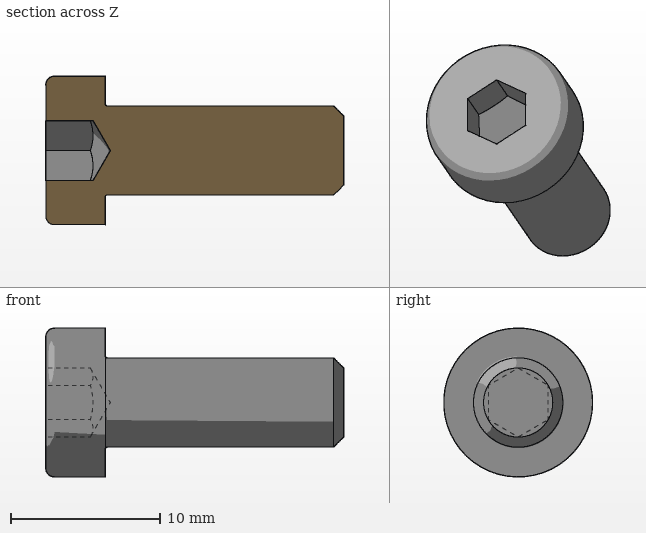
import cadquery as cq
import math

total_length = 20.0
head_diameter = 10.0
head_length = 4.0
shank_diameter = 6.0

head_edge_radius = 0.6
neck_radius = 0.15
tip_chamfer = 0.68

socket_across_flats = 4.0
socket_depth = 3.0
socket_cone_angle = 120.0
socket_across_corners = socket_across_flats / math.cos(math.pi / 6)


def make_body():
    """Head and shank revolved about X, with rounded head edge, neck fillet and tip chamfer."""
    head_radius = head_diameter / 2
    shank_radius = shank_diameter / 2
    return (
        cq.Workplane("XY")
        .lineTo(0, head_radius - head_edge_radius)
        .radiusArc((head_edge_radius, head_radius), head_edge_radius)
        .lineTo(head_length, head_radius)
        .lineTo(head_length, shank_radius + neck_radius)
        .radiusArc((head_length + neck_radius, shank_radius), -neck_radius)
        .lineTo(total_length - tip_chamfer, shank_radius)
        .lineTo(total_length, shank_radius - tip_chamfer)
        .lineTo(total_length, 0)
        .close()
        .revolve(360, (0, 0, 0), (1, 0, 0))
    )


def make_socket():
    """Hexagonal prism with flats facing along Y, its inner end trimmed to a cone."""
    corner_radius = socket_across_corners / 2
    cone_height = corner_radius / math.tan(math.radians(socket_cone_angle / 2))
    prism = (
        cq.Workplane("YZ")
        .transformed(rotate=(0, 0, 90))
        .polygon(6, socket_across_corners)
        .extrude(socket_depth + cone_height)
    )
    pointed_cylinder = (
        cq.Workplane("XY")
        .lineTo(0, corner_radius)
        .lineTo(socket_depth, corner_radius)
        .lineTo(socket_depth + cone_height, 0)
        .close()
        .revolve(360, (0, 0, 0), (1, 0, 0))
    )
    return prism.intersect(pointed_cylinder)


result = make_body().cut(make_socket())